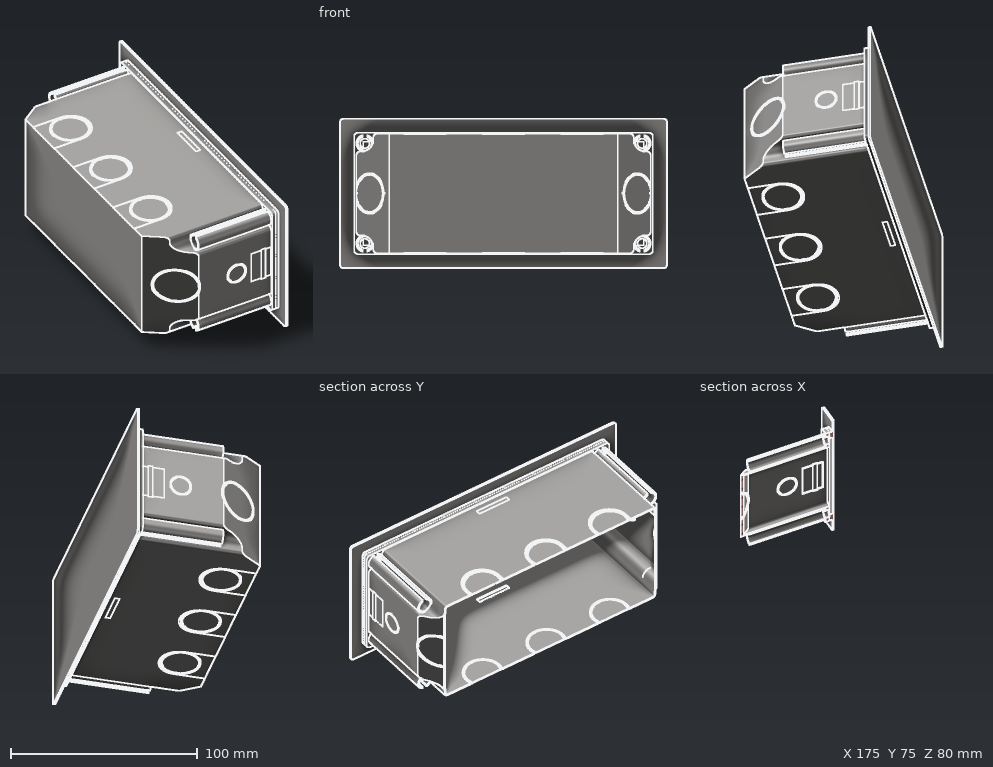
import cadquery as cq
import math

WIDTH = 175.0
DEPTH = 75.0
HEIGHT = 80.0
FRONT_Y = DEPTH / 2
BACK_Y = -DEPTH / 2

FLANGE_THICKNESS = 1.0
FLANGE_CORNER_RADIUS = 1.8
LIP_DEPTH = 1.4
LIP_POCKET_WIDTH = 150.0
LIP_POCKET_HEIGHT = 55.5

COLLAR_WIDTH = 160.0
COLLAR_HEIGHT = 65.0
COLLAR_DEPTH = 4.0
COLLAR_CORNER_RADIUS = 2.1
COLLAR_RIM = 0.61
COLLAR_FRONT_Y = FRONT_Y - FLANGE_THICKNESS
COLLAR_BACK_Y = COLLAR_FRONT_Y - COLLAR_DEPTH
LIP_BACK_Y = COLLAR_FRONT_Y - LIP_DEPTH

BOX_WIDTH = 157.5
BOX_HEIGHT = 63.9
BETWEEN_NOTCHES_X = 139.5
BETWEEN_NOTCHES_Z = 45.0
NOTCH_INNER_RADIUS = 6.1
BOX_EDGE_RADIUS = 2.1
BACK_WIDTH = 122.2
SLOPE_START_Y = FRONT_Y - 50.0
WALL = 1.0

TUBE_DIAMETER = 9.1
TUBE_BORE = 7.4
TUBE_SLIT = 2.5
TUBE_SPACING_X = 148.4
TUBE_SPACING_Z = 53.5
TUBE_LENGTH = COLLAR_BACK_Y - SLOPE_START_Y
SCREW_HOLE = 5.0

KNOCKOUT_OUTER = 21.7
KNOCKOUT_DISC = 20.0
SMALL_KNOCKOUT_OUTER = 11.7
SMALL_KNOCKOUT_DISC = 10.5
TAB_WIDTH = 0.5
END_KNOCKOUT_Y = -22.4
SMALL_KNOCKOUT_Y = 11.2
SIDE_KNOCKOUT_Y = -21.0
SIDE_KNOCKOUT_SPACING = 42.0

LAND_WIDTH = 22.2
LAND_Y = -20.3
LAND_DEPTH = 0.2

SNAP_HEIGHT = 18.4
SNAP_END_Y = 20.3
SNAP_SKIN = 0.5
GROOVE_LENGTH = 19.6
GROOVE_FRONT_Y = 29.2
GROOVE_WIDTH = 2.6
GROOVE_SKIN = 0.38


def block(width, front_y, back_y, height):
    """Box centred on X and Z between two Y positions."""
    depth = front_y - back_y
    return cq.Workplane("XY").box(width, depth, height).translate((0, front_y - depth / 2, 0))


def rounded_block(width, front_y, back_y, height, radius):
    """Block with its four edges along Y rounded."""
    return block(width, front_y, back_y, height).edges("|Y").fillet(radius)


def notched_box(front_y, inset):
    """Box with corner notches and sloping ends, every wall moved inwards by the inset."""
    back_y = BACK_Y + inset
    half_x = BETWEEN_NOTCHES_X / 2 - inset
    half_z = BETWEEN_NOTCHES_Z / 2 - inset
    edge_radius = BOX_EDGE_RADIUS - inset
    wide = rounded_block(BOX_WIDTH - 2 * inset, front_y, back_y, 2 * half_z, edge_radius)
    tall = rounded_block(2 * half_x, front_y, back_y, BOX_HEIGHT - 2 * inset, edge_radius)

    def is_notch_root(edge):
        center = edge.Center()
        return math.isclose(abs(center.x), half_x) and math.isclose(abs(center.z), half_z)

    cross = wide.union(tall).edges("|Y").filter(is_notch_root).fillet(NOTCH_INNER_RADIUS + inset)

    slope_run = (BOX_WIDTH - BACK_WIDTH) / 2
    slope_rise = SLOPE_START_Y - BACK_Y
    slope_shift = inset * math.hypot(slope_run, slope_rise) / slope_rise

    def slope_x(y):
        return BACK_WIDTH / 2 + (y - BACK_Y) * slope_run / slope_rise - slope_shift

    taper = (
        cq.Workplane("XY")
        .polyline([
            (-slope_x(back_y), back_y),
            (slope_x(back_y), back_y),
            (slope_x(front_y), front_y),
            (-slope_x(front_y), front_y),
        ])
        .close()
        .extrude(BOX_HEIGHT / 2, both=True)
    )
    return cross.intersect(taper)


def tube_centers():
    """X and Z of the four guide tubes."""
    return [(x * TUBE_SPACING_X / 2, z * TUBE_SPACING_Z / 2) for x in (-1, 1) for z in (-1, 1)]


def cylinder_back(center, front_y, length, diameter):
    """Cylinder along Y at an X, Z centre, reaching backwards from its front."""
    return (
        cq.Workplane("XZ", origin=(center[0], front_y, center[1]))
        .circle(diameter / 2)
        .extrude(length)
    )


def ring_gap(plane, outer, disc, reach, tab_directions):
    """Ring cutter through both opposite walls, interrupted by one tab for each direction."""
    ring = plane.circle(outer / 2).circle(disc / 2).extrude(reach, both=True)
    for angle in tab_directions:
        tab = (
            plane.transformed(rotate=(0, 0, angle))
            .center(outer / 2, 0)
            .rect(outer - disc + TAB_WIDTH, TAB_WIDTH)
            .extrude(reach, both=True)
        )
        ring = ring.cut(tab)
    return ring


def side_land(column, side):
    """Shallow recess around one side knockout, open towards the back."""
    x = column * SIDE_KNOCKOUT_SPACING
    tail_length = LAND_Y - BACK_Y
    plane = cq.Workplane("XY", origin=(x, LAND_Y, side * BOX_HEIGHT / 2))
    head = plane.circle(LAND_WIDTH / 2).extrude(LAND_DEPTH, both=True)
    tail = (
        plane.center(0, -tail_length / 2)
        .rect(LAND_WIDTH, tail_length)
        .extrude(LAND_DEPTH, both=True)
    )
    return head.union(tail)


def snap_pockets():
    """Pockets and deeper grooves inside the end walls, and grooves inside the top and bottom walls."""
    groove_back_y = GROOVE_FRONT_Y - GROOVE_WIDTH
    pocket_width = BOX_WIDTH - 2 * SNAP_SKIN
    groove_span_x = BOX_WIDTH - 2 * GROOVE_SKIN
    groove_span_z = BOX_HEIGHT - 2 * GROOVE_SKIN
    pockets = block(pocket_width, COLLAR_BACK_Y, SNAP_END_Y, SNAP_HEIGHT)
    pockets = pockets.union(block(groove_span_x, GROOVE_FRONT_Y, groove_back_y, GROOVE_LENGTH))
    return pockets.union(block(GROOVE_LENGTH, GROOVE_FRONT_Y, groove_back_y, groove_span_z))


def lip_block(front_y, back_y):
    """Solid outline of the cover's lip, which fills the rim of the collar."""
    return rounded_block(
        COLLAR_WIDTH - 2 * COLLAR_RIM,
        front_y,
        back_y,
        COLLAR_HEIGHT - 2 * COLLAR_RIM,
        COLLAR_CORNER_RADIUS - COLLAR_RIM,
    )


def make_housing():
    """Hollow box with its collar, notches, knockouts and screw holes."""
    collar = rounded_block(
        COLLAR_WIDTH, COLLAR_FRONT_Y, COLLAR_BACK_Y, COLLAR_HEIGHT, COLLAR_CORNER_RADIUS
    )
    body = notched_box(COLLAR_BACK_Y, 0).union(collar)
    body = body.cut(lip_block(COLLAR_FRONT_Y, LIP_BACK_Y))
    body = body.cut(notched_box(LIP_BACK_Y, WALL))
    body = body.cut(snap_pockets())

    cross_tabs = (0, 90, 180, 270)
    side_tabs = (0, 180)
    end_plane = cq.Workplane("YZ", origin=(0, END_KNOCKOUT_Y, 0))
    body = body.cut(ring_gap(end_plane, KNOCKOUT_OUTER, KNOCKOUT_DISC, BOX_WIDTH, cross_tabs))
    small_plane = cq.Workplane("YZ", origin=(0, SMALL_KNOCKOUT_Y, 0))
    body = body.cut(
        ring_gap(small_plane, SMALL_KNOCKOUT_OUTER, SMALL_KNOCKOUT_DISC, BOX_WIDTH, side_tabs)
    )
    for column in (-1, 0, 1):
        for side in (-1, 1):
            body = body.cut(side_land(column, side))
        plane = cq.Workplane("XY", origin=(column * SIDE_KNOCKOUT_SPACING, SIDE_KNOCKOUT_Y, 0))
        body = body.cut(ring_gap(plane, KNOCKOUT_OUTER, KNOCKOUT_DISC, BOX_HEIGHT, cross_tabs))

    for center in tube_centers():
        body = body.cut(cylinder_back(center, COLLAR_FRONT_Y, COLLAR_DEPTH, SCREW_HOLE))
        body = body.cut(cylinder_back(center, COLLAR_BACK_Y, TUBE_LENGTH, TUBE_DIAMETER))
    return body


def make_cover():
    """Flange plate with a pocketed lip on its back."""
    flange = rounded_block(WIDTH, FRONT_Y, COLLAR_FRONT_Y, HEIGHT, FLANGE_CORNER_RADIUS)
    pocket = block(LIP_POCKET_WIDTH, COLLAR_FRONT_Y, LIP_BACK_Y, LIP_POCKET_HEIGHT)
    return flange.union(lip_block(COLLAR_FRONT_Y, LIP_BACK_Y)).cut(pocket)


def make_guide_tube(center):
    """Tube along Y, slit towards the top or bottom of the box."""
    tube = cylinder_back(center, COLLAR_BACK_Y, TUBE_LENGTH, TUBE_DIAMETER)
    tube = tube.cut(cylinder_back(center, COLLAR_BACK_Y, TUBE_LENGTH, TUBE_BORE))
    slit = block(TUBE_SLIT, COLLAR_BACK_Y, SLOPE_START_Y, TUBE_DIAMETER)
    outward = math.copysign(TUBE_DIAMETER / 2, center[1])
    return tube.cut(slit.translate((center[0], 0, center[1] + outward)))


housing = make_housing()
cover = make_cover()
guide_tubes = [make_guide_tube(center) for center in tube_centers()]

result = cq.Compound.makeCompound(
    [housing.val(), cover.val(), *[tube.val() for tube in guide_tubes]]
)